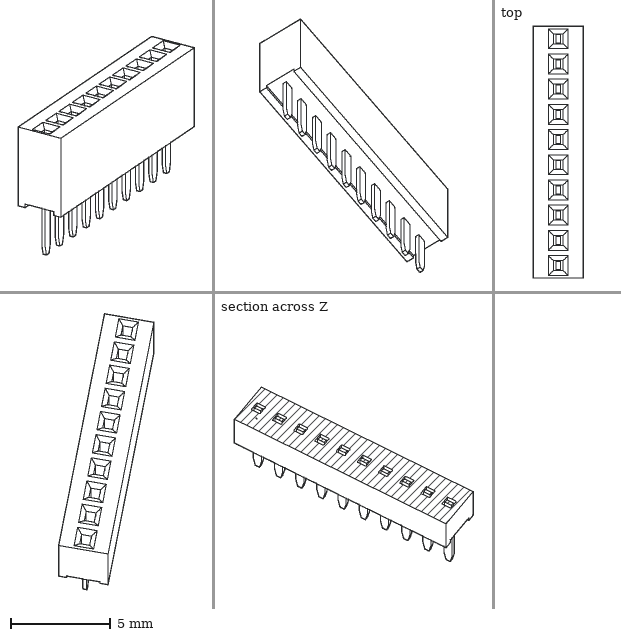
import cadquery as cq

contact_count = 10
pitch = 1.27
body_width = 2.54
body_length = contact_count * pitch
body_height = 4.4
total_height = 7.0

foot_width = 0.42
foot_height = 0.2

funnel_size = 1.0
funnel_depth = 0.25
cavity_size = funnel_size / 2
cavity_depth = 3.05

blade_thickness = 0.2
blade_width = 0.5
tongue_width = 0.41
tongue_height = 1.02
tip_width = 0.25
taper_length = 0.51

cavity_floor = body_height - cavity_depth
tongue_top = cavity_floor + tongue_height
tail_bottom = body_height - total_height
contact_places = [(i - (contact_count - 1) / 2) * pitch for i in range(contact_count)]


def make_housing():
    """Rectangular bar with a channel along the whole underside."""
    bar = cq.Workplane("XY").box(body_width, body_length, body_height, centered=(True, True, False))
    channel_width = body_width - 2 * foot_width
    channel = cq.Workplane("XY").box(channel_width, body_length, foot_height, centered=(True, True, False))
    return bar.cut(channel)


def make_opening(y):
    """Funnel and cavity to be removed at one contact place."""
    funnel = (
        cq.Workplane("XY", origin=(0, y, body_height))
        .rect(funnel_size, funnel_size)
        .workplane(offset=-funnel_depth)
        .rect(cavity_size, cavity_size)
        .loft(ruled=True)
    )
    cavity = (
        cq.Workplane("XY", origin=(0, y, cavity_floor))
        .rect(cavity_size, cavity_size)
        .extrude(cavity_depth - funnel_depth)
    )
    return funnel.union(cavity)


def make_blade(y):
    """Flat blade with its tongue, its shoulders at the cavity floor and its tapered tail."""
    taper_start = tail_bottom + taper_length
    outline = [
        (y - tongue_width / 2, tongue_top),
        (y - tongue_width / 2, cavity_floor),
        (y - blade_width / 2, cavity_floor),
        (y - blade_width / 2, taper_start),
        (y - tip_width / 2, tail_bottom),
        (y + tip_width / 2, tail_bottom),
        (y + blade_width / 2, taper_start),
        (y + blade_width / 2, cavity_floor),
        (y + tongue_width / 2, cavity_floor),
        (y + tongue_width / 2, tongue_top),
    ]
    return cq.Workplane("YZ").polyline(outline).close().extrude(blade_thickness / 2, both=True)


result = make_housing()
for place in contact_places:
    result = result.cut(make_opening(place)).union(make_blade(place))